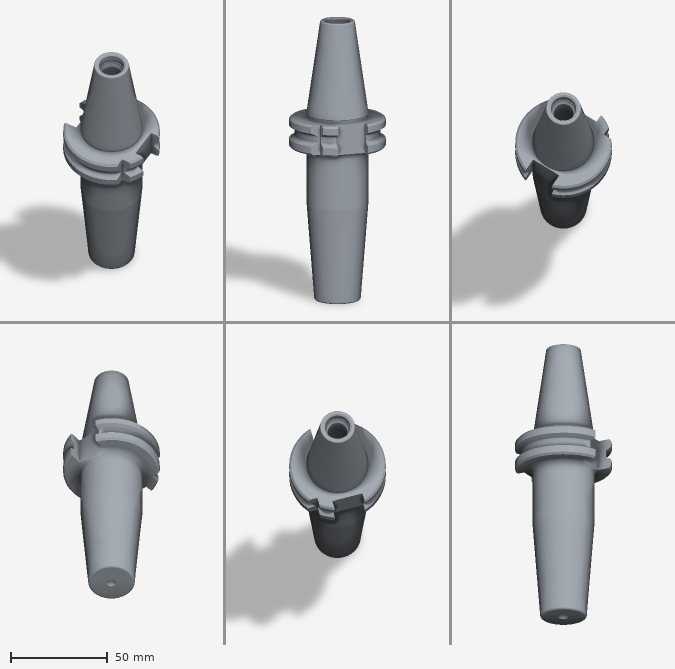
import cadquery as cq

total_length = 147.8
taper_length = 49.2
taper_large_radius = 16.1
taper_ratio = 7 / 24
taper_small_radius = taper_large_radius - taper_length * taper_ratio / 2
taper_edge_fillet = 0.6
nose_z = taper_length - total_length

neck_radius = 15.8
neck_fillet = 0.5

flange_radius = 25.0
flange_top_z = -1.6
flange_thickness = 16.0
flange_bottom_z = flange_top_z - flange_thickness
flange_chamfer = 1.0

groove_radius = 22.2
groove_center_drop = 7.8
groove_center_z = flange_top_z - groove_center_drop
groove_floor_width = 3.5
groove_flank_height = 1.6
groove_fillet = 0.5
groove_mouth_width = groove_floor_width + 2 * groove_flank_height

slot_width = 16.1
left_slot_floor = 16.4
right_slot_floor = 18.9
notch_offset = 15.1

body_radius = 16.0
body_fillet = 3.1
nose_length = 51.0
nose_radius = 12.0
nose_fillet = 1.2

mouth_radius = 7.4
mouth_chamfer_depth = 0.6
counterbore_radius = 6.5
counterbore_depth = 6.0
bore_relief_radius = 7.1
bore_relief_top_depth = 3.8
bore_relief_bottom_depth = 5.6
thread_radius = 5.2
thread_depth = 32.5
floor_radius = 4.1
coolant_radius = 2.5


def make_body():
    """Solid of revolution: taper, flange and nose."""
    fillet_start_z = flange_bottom_z - body_fillet
    half_mouth = groove_mouth_width / 2
    half_floor = groove_floor_width / 2
    neck_undercut = taper_large_radius - neck_radius
    body = (
        cq.Workplane("XZ")
        .moveTo(0, nose_z)
        .lineTo(nose_radius, nose_z)
        .lineTo(body_radius, nose_z + nose_length)
        .lineTo(body_radius, fillet_start_z)
        .radiusArc((body_radius + body_fillet, flange_bottom_z), body_fillet)
        .lineTo(flange_radius - flange_chamfer, flange_bottom_z)
        .lineTo(flange_radius, flange_bottom_z + flange_chamfer)
        .lineTo(flange_radius, groove_center_z - half_mouth)
        .lineTo(groove_radius, groove_center_z - half_floor)
        .lineTo(groove_radius, groove_center_z + half_floor)
        .lineTo(flange_radius, groove_center_z + half_mouth)
        .lineTo(flange_radius, flange_top_z - flange_chamfer)
        .lineTo(flange_radius - flange_chamfer, flange_top_z)
        .lineTo(neck_radius + neck_fillet, flange_top_z)
        .radiusArc((neck_radius, flange_top_z + neck_fillet), neck_fillet)
        .lineTo(neck_radius, -neck_undercut)
        .lineTo(taper_large_radius, 0)
        .lineTo(taper_small_radius, taper_length)
        .lineTo(0, taper_length)
        .close()
        .revolve(360, (0, 0, 0), (0, 1, 0))
    )
    body = body.faces("<Z").edges().fillet(nose_fillet)
    body = body.faces(">Z").edges().fillet(taper_edge_fillet)
    groove_point = (groove_radius, 0, groove_center_z)
    groove_floor = body.faces(cq.selectors.NearestToPointSelector(groove_point))
    return groove_floor.edges("%CIRCLE").fillet(groove_fillet)


def make_bore():
    """Stepped bore that opens at the small end of the taper and runs through."""
    counterbore_bottom_z = taper_length - counterbore_depth
    cone_height = counterbore_radius - thread_radius
    floor_cone_height = thread_radius - floor_radius
    thread_bottom_z = taper_length - thread_depth
    relief_top_z = taper_length - bore_relief_top_depth
    relief_bottom_z = taper_length - bore_relief_bottom_depth
    return (
        cq.Workplane("XZ")
        .moveTo(0, nose_z)
        .lineTo(coolant_radius, nose_z)
        .lineTo(coolant_radius, thread_bottom_z)
        .lineTo(floor_radius, thread_bottom_z)
        .lineTo(thread_radius, thread_bottom_z + floor_cone_height)
        .lineTo(thread_radius, counterbore_bottom_z - cone_height)
        .lineTo(counterbore_radius, counterbore_bottom_z)
        .lineTo(counterbore_radius, relief_bottom_z)
        .lineTo(bore_relief_radius, relief_bottom_z)
        .lineTo(bore_relief_radius, relief_top_z)
        .lineTo(counterbore_radius, relief_top_z)
        .lineTo(counterbore_radius, taper_length - mouth_chamfer_depth)
        .lineTo(mouth_radius, taper_length)
        .lineTo(0, taper_length)
        .close()
        .revolve(360, (0, 0, 0), (0, 1, 0))
    )


def make_flange_cut(x_min, x_max, y_min, y_max):
    """Block that cuts through the flange and the fillet below it."""
    height = flange_thickness + body_fillet
    corner = (x_min, y_min, flange_bottom_z - body_fillet)
    block = cq.Workplane("XY").box(x_max - x_min, y_max - y_min, height, centered=False)
    return block.translate(corner)


half_slot = slot_width / 2
left_slot = make_flange_cut(-flange_radius, -left_slot_floor, -half_slot, half_slot)
right_slot = make_flange_cut(right_slot_floor, flange_radius, -half_slot, half_slot)
notch = make_flange_cut(notch_offset, flange_radius, -flange_radius, -notch_offset)

result = make_body().cut(make_bore())
for cutter in (left_slot, right_slot, notch):
    result = result.cut(cutter)